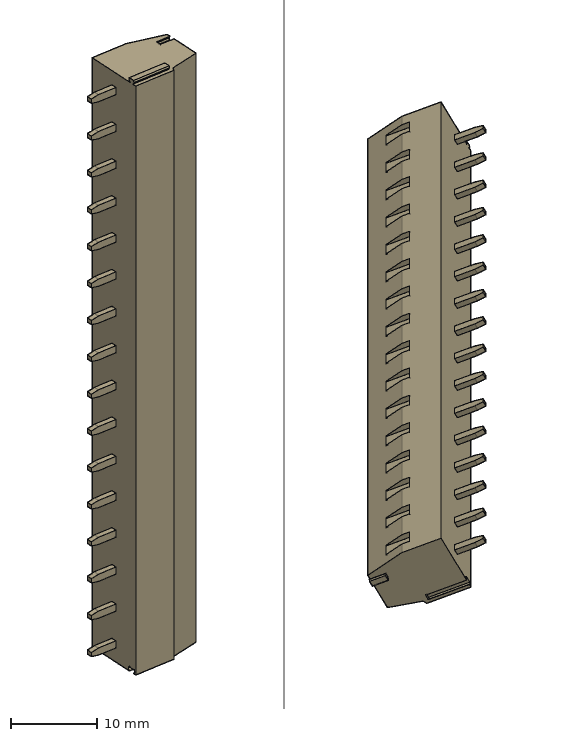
import cadquery as cq

poles = 16
total_height = 81.0
key_height = 0.6
pole_row_height = 80.0
body_width = 8.1
body_depth = 10.05
pin_length = 3.65

body_height = total_height - 2 * key_height
pitch = pole_row_height / poles

back_inset = 1.4
left_shoulder = 5.0
right_shoulder = 5.7
right_ledge_width = 0.5
right_ledge_rise = 0.25

window_floor = 0.7
window_length = 3.3
window_height = 1.7
window_start = 4.05

pin_width = 0.7
pin_thickness = 1.0
pin_tip_length = 1.05
pin_tip_chamfer = 0.2

key_width = 1.0
groove_clearance = 0.1
dovetail_flare = 0.2
dovetail_flare_height = 0.3
crest_inset = 0.1
front_key_x = 7.3
front_key_length = 5.3
back_key_x = 2.3
back_key_length = 2.0


def dovetail(center_x, y_start, y_end, side_clearance=0.0):
    """Bar along Y standing on Z = 0, flared above its root and slightly narrowed at its crest."""
    half_width = key_width / 2 + side_clearance
    half_root = half_width - dovetail_flare
    half_crest = half_width - crest_inset
    return (
        cq.Workplane("XZ", origin=(center_x, y_end, 0))
        .polyline([
            (-half_root, 0),
            (half_root, 0),
            (half_width, dovetail_flare_height),
            (half_crest, key_height),
            (-half_crest, key_height),
            (-half_width, dovetail_flare_height),
        ])
        .close()
        .extrude(y_end - y_start)
    )


def make_body():
    """Tapered housing profile extruded over all poles."""
    return (
        cq.Workplane("XY")
        .polyline([
            (0, 0),
            (body_width, 0),
            (body_width, right_shoulder),
            (body_width - right_ledge_width, right_shoulder + right_ledge_rise),
            (body_width - back_inset, body_depth),
            (back_inset, body_depth),
            (0, left_shoulder),
        ])
        .close()
        .extrude(body_height)
    )


def make_window(center_z):
    """Cutter for one wire window, with a floor parallel to the straight side wall."""
    return (
        cq.Workplane("XY")
        .box(window_floor, window_length, window_height, centered=(False, False, True))
        .translate((0, window_start, center_z))
    )


def make_pin(center_z):
    """Solder pin pointing to -Y, with its tip narrowed along Z."""
    half = pin_thickness / 2
    tip_half = half - pin_tip_chamfer
    tip_start = pin_tip_length - pin_length
    return (
        cq.Workplane("YZ", origin=(body_width / 2 - pin_width / 2, 0, center_z))
        .polyline([
            (0, -half),
            (tip_start, -half),
            (-pin_length, -tip_half),
            (-pin_length, tip_half),
            (tip_start, half),
            (0, half),
        ])
        .close()
        .extrude(pin_width)
    )


result = make_body()
for pole in range(poles):
    pole_z = body_height / 2 + (pole - (poles - 1) / 2) * pitch
    result = result.cut(make_window(pole_z)).union(make_pin(pole_z))

front_span = (front_key_x, 0, front_key_length)
result = result.union(dovetail(*front_span).translate((0, 0, body_height)))
result = result.cut(dovetail(*front_span, groove_clearance))

back_span = (back_key_x, body_depth - back_key_length, body_depth)
result = result.union(dovetail(*back_span).mirror("XY"))
result = result.cut(dovetail(*back_span, groove_clearance).mirror("XY").translate((0, 0, body_height)))